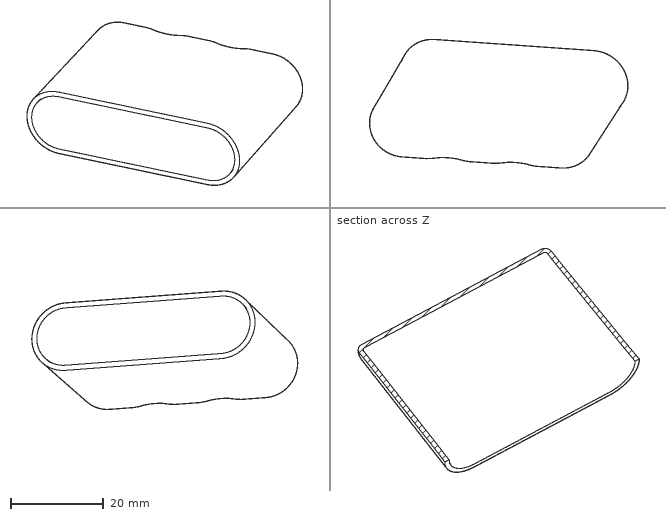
import cadquery as cq
import math

width = 50.4
length = 36.2
height = 15.2
wall = 1.15
draft_angle = 0.5
end_radius = 1.7

groove_pitch = 15.0
groove_depth = 0.55
groove_half_width = 4.0
groove_length = 20.1
groove_edge_radius = 5.0
groove_overcut = 0.5
swing_margin = 1.5


def arc_radius(half_chord, sagitta):
    """Radius of a circular arc from its half chord and its sagitta."""
    return (half_chord**2 + sagitta**2) / (2 * sagitta)


cross_radius = arc_radius(groove_half_width, groove_depth)
sweep_radius = arc_radius(groove_length, groove_depth)
end_half_height = height / 2 - length * math.tan(math.radians(draft_angle))


def make_body():
    """Solid slot-shaped block that tapers from the mouth to the closed end."""
    mouth_plane = cq.Plane(origin=(0, 0, 0), xDir=(1, 0, 0), normal=(0, 1, 0))
    return cq.Workplane(mouth_plane).slot2D(width, height).extrude(length, taper=draft_angle)


def make_groove_cutter(x):
    """Lens-shaped cutter for the upper face: a shallow arc swung about a distant X-parallel axis."""
    cutter_height = groove_depth + groove_overcut
    half_top = math.sqrt(cross_radius**2 - (cross_radius - cutter_height) ** 2)
    half_swing = swing_margin * math.degrees(groove_length / sweep_radius)
    return (
        cq.Workplane("XZ")
        .moveTo(-half_top, cutter_height)
        .threePointArc((0, 0), (half_top, cutter_height))
        .close()
        .revolve(2 * half_swing, (0, sweep_radius, 0), (1, sweep_radius, 0))
        .rotate((0, 0, sweep_radius), (1, 0, sweep_radius), -half_swing)
        .rotate((0, 0, 0), (1, 0, 0), -draft_angle)
        .translate((x, length, end_half_height - groove_depth))
    )


def is_groove_rim(edge):
    """True for the curved rim of a groove on a flat face, not the outline of an end face."""
    box = edge.BoundingBox()
    on_one_face = box.zmin * box.zmax > 0
    reaches_inward = box.ylen > groove_length / 2
    return on_one_face and reaches_inward and edge.geomType() != "LINE"


def add_finger_grooves(block):
    """Cut two grooves into each flat face and round their rims."""
    for x in (-groove_pitch / 2, groove_pitch / 2):
        cutter = make_groove_cutter(x)
        block = block.cut(cutter).cut(cutter.mirror("XY"))
    rims = [edge for edge in block.edges().vals() if is_groove_rim(edge)]
    return block.newObject(rims).fillet(groove_edge_radius)


def round_closed_end(block):
    """Round the outline of the closed end, grooves included."""
    return block.faces(">Y").edges().fillet(end_radius)


def hollow_out(block):
    """Shell the block to an even wall, open at the mouth."""
    return block.faces("<Y").shell(-wall)


result = hollow_out(round_closed_end(add_finger_grooves(make_body())))